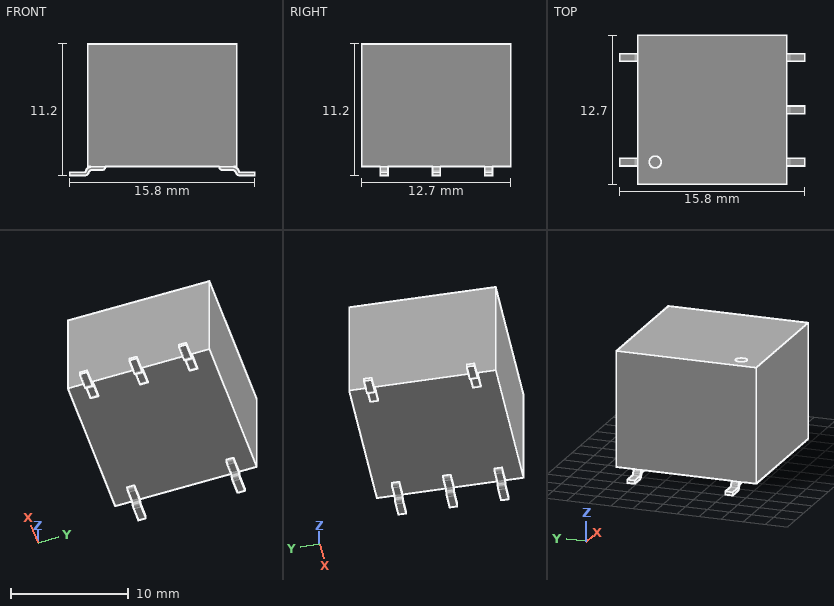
import cadquery as cq
import math

overall_length = 15.75
overall_height = 11.18

housing_side = 12.7
standoff = 0.75
housing_height = overall_height - standoff

lead_width = 0.68
lead_thickness = 0.3
lead_pitch = 4.44
foot_length = 1.32
lead_reach = 3.05
rise_angle = math.radians(65)
lower_bend_radius = 0.05
upper_bend_radius = 0.2

mark_diameter = 1.01
mark_depth = 0.1
mark_x = -4.85
mark_y = -lead_pitch


def make_mark():
    """Round disc level with the top of the housing."""
    return (
        cq.Workplane("XY", origin=(mark_x, mark_y, overall_height - mark_depth))
        .circle(mark_diameter / 2)
        .extrude(mark_depth)
    )


def make_housing(mark):
    """Plain block with a recess that holds the mark."""
    block = (
        cq.Workplane("XY", origin=(0, 0, standoff))
        .rect(housing_side, housing_side)
        .extrude(housing_height)
    )
    return block.cut(mark)


def make_lead(row_y):
    """Gull-wing lead on the -X side, centred on row_y."""
    tip_x = -overall_length / 2
    end_x = tip_x + lead_reach
    shelf_z = standoff - lead_thickness

    slope = math.tan(rise_angle)
    outer_low_x = tip_x + foot_length
    outer_high_x = outer_low_x + (standoff - lead_thickness) / slope
    riser_shift = lead_thickness / math.sin(rise_angle)
    inner_low_x = outer_low_x + riser_shift - lead_thickness / slope
    inner_high_x = outer_high_x + riser_shift - lead_thickness / slope

    arc_offset = lead_thickness * math.sin(math.radians(45))
    end_arc_middle = (end_x - lead_thickness + arc_offset, standoff - arc_offset)

    lead = (
        cq.Workplane("XZ", origin=(0, row_y + lead_width / 2, 0))
        .moveTo(tip_x, 0)
        .lineTo(inner_low_x, 0)
        .lineTo(inner_high_x, shelf_z)
        .lineTo(end_x - lead_thickness, shelf_z)
        .threePointArc(end_arc_middle, (end_x, standoff))
        .lineTo(outer_high_x, standoff)
        .lineTo(outer_low_x, lead_thickness)
        .lineTo(tip_x, lead_thickness)
        .close()
        .extrude(lead_width)
    )

    def bend_edge(x, z):
        return cq.selectors.NearestToPointSelector((x, row_y, z))

    lead = lead.edges(bend_edge(inner_low_x, 0)).fillet(lower_bend_radius + lead_thickness)
    lead = lead.edges(bend_edge(outer_high_x, standoff)).fillet(upper_bend_radius + lead_thickness)
    lead = lead.edges(bend_edge(inner_high_x, shelf_z)).fillet(upper_bend_radius)
    return lead.edges(bend_edge(outer_low_x, lead_thickness)).fillet(lower_bend_radius)


mark = make_mark()
housing = make_housing(mark)

leads = []
for row in (-1, 1):
    leads.append(make_lead(row * lead_pitch).val())
for row in (-1, 0, 1):
    leads.append(make_lead(row * lead_pitch).mirror("YZ").val())

result = cq.Compound.makeCompound([housing.val(), mark.val(), *leads])